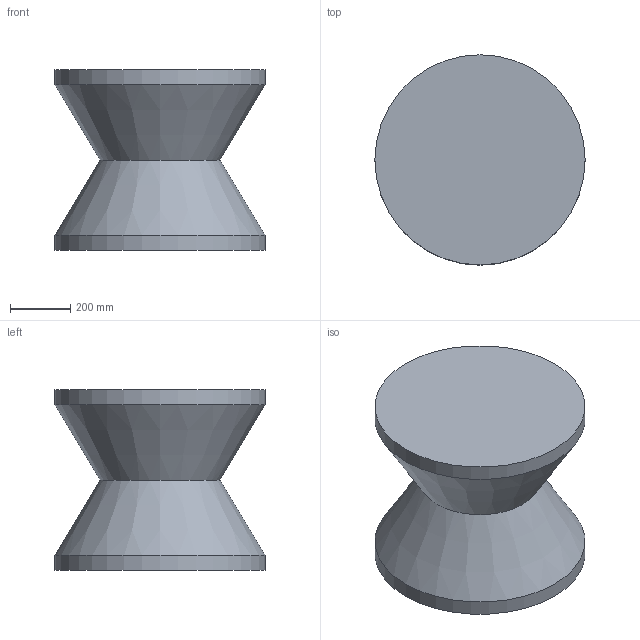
import cadquery as cq

outer_diameter = 700.0
waist_diameter = 400.0
total_height = 600.0
rim_height = 50.0

outer_radius = outer_diameter / 2
waist_radius = waist_diameter / 2
waist_z = total_height / 2
upper_rim_z = total_height - rim_height


def hourglass_body():
    """Two cones meeting at the waist, each ending in a cylindrical rim, revolved about Z."""
    half_profile = (
        cq.Workplane("XZ")
        .moveTo(0, 0)
        .lineTo(outer_radius, 0)
        .lineTo(outer_radius, rim_height)
        .lineTo(waist_radius, waist_z)
        .lineTo(outer_radius, upper_rim_z)
        .lineTo(outer_radius, total_height)
        .lineTo(0, total_height)
        .close()
    )
    return half_profile.revolve(360, (0, 0, 0), (0, 1, 0))


result = hourglass_body()